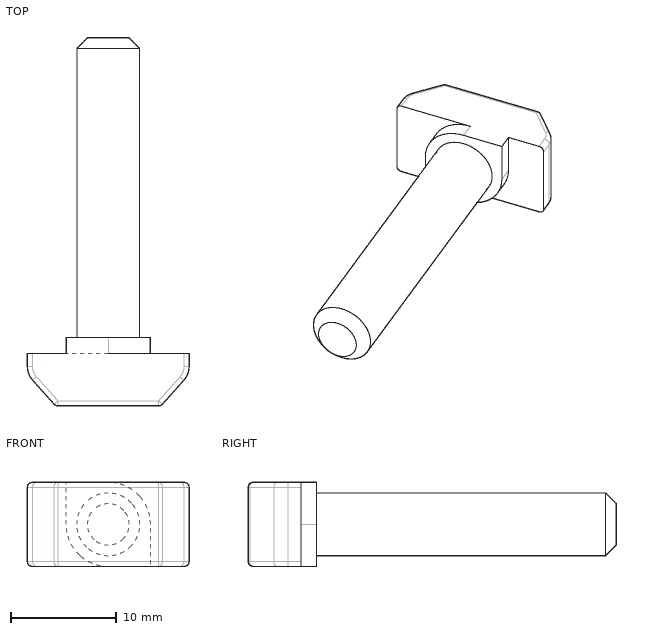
import cadquery as cq

total_length = 35.0
head_width = 15.4
head_depth = 8.0
head_thickness = 5.0
head_face_width = 10.0
head_side_length = 2.0
shoulder_radius = 2.0
edge_radius = 0.5
collar_height = 1.5
shank_diameter = 6.0
tip_chamfer = 1.0

collar_radius = head_depth / 2
collar_top = head_thickness + collar_height


def extrude_along_y(sketch_function, start, length):
    """Extrude a profile drawn in X and Z from Y = start towards +Y."""
    plane = cq.Workplane("XZ", origin=(0, start, 0))
    return sketch_function(plane).extrude(-length)


def make_head():
    half_width = head_width / 2
    half_face = head_face_width / 2
    flank_end = head_thickness - head_side_length
    head = (
        cq.Workplane("XY")
        .polyline([
            (-half_face, 0),
            (half_face, 0),
            (half_width, flank_end),
            (half_width, head_thickness),
            (-half_width, head_thickness),
            (-half_width, flank_end),
        ])
        .close()
        .extrude(head_depth / 2, both=True)
    )
    shoulders = cq.selectors.BoxSelector(
        (-head_width, flank_end / 2, -head_depth),
        (head_width, (flank_end + head_thickness) / 2, head_depth),
    )
    head = head.edges("|Z").edges(shoulders).fillet(shoulder_radius)
    corners = head.edges("|Z").edges("<Y")
    rim = head.faces("<Z or >Z").edges().edges("not >Y")
    return corners.add(rim).fillet(edge_radius)


def make_collar():
    """Round collar with square corners in two opposite quadrants."""
    collar = extrude_along_y(lambda p: p.circle(collar_radius), head_thickness, collar_height)
    for x, z in ((-1, 1), (1, -1)):
        center = (x * collar_radius / 2, z * collar_radius / 2)
        corner = extrude_along_y(
            lambda p: p.center(*center).rect(collar_radius, collar_radius),
            head_thickness,
            collar_height,
        )
        collar = collar.union(corner)
    return collar


def make_shank():
    shank = extrude_along_y(
        lambda p: p.circle(shank_diameter / 2), collar_top, total_length - collar_top
    )
    return shank.faces(">Y").chamfer(tip_chamfer)


result = make_head().union(make_collar()).union(make_shank())